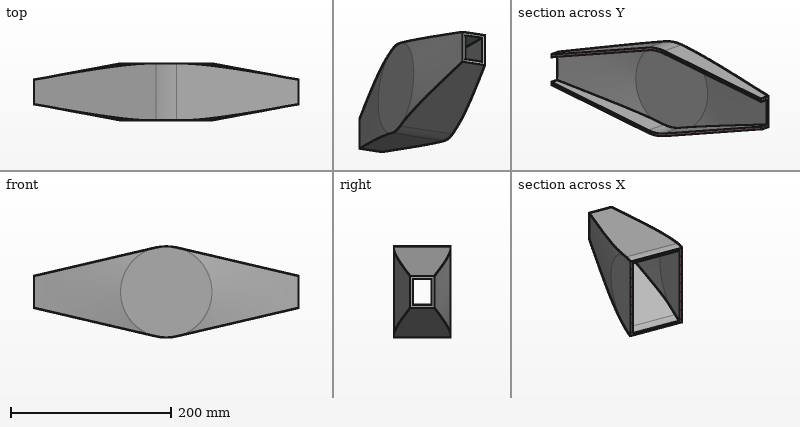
import cadquery as cq
import math

length = 330.0
hub_diameter = 114.0
hub_width = 71.0
end_width = 31.0
end_height = 40.0
wall = 4.0

half_length = length / 2
hub_radius = hub_diameter / 2
corner_radius = math.hypot(half_length, end_height / 2)

tangent_angle = math.atan2(end_height / 2, half_length) + math.acos(hub_radius / corner_radius)

cone_angle = math.atan2((hub_width - end_width) / 2, half_length - hub_radius)
rim_radius = corner_radius + wall


def tapered_slab(inset):
    """Slab along Y: a circle with straight tangent flanks and square-cut ends, inset from the outside."""
    radius = hub_radius - inset
    end_half_height = end_height / 2 - inset / math.sin(tangent_angle)
    tangent_x = radius * math.cos(tangent_angle)
    tangent_z = radius * math.sin(tangent_angle)
    return (
        cq.Workplane("XZ")
        .moveTo(-half_length, -end_half_height)
        .lineTo(-half_length, end_half_height)
        .lineTo(-tangent_x, tangent_z)
        .threePointArc((0, radius), (tangent_x, tangent_z))
        .lineTo(half_length, end_half_height)
        .lineTo(half_length, -end_half_height)
        .lineTo(tangent_x, -tangent_z)
        .threePointArc((0, -radius), (-tangent_x, -tangent_z))
        .close()
        .extrude(hub_width / 2, both=True)
    )


def conical_disc(inset):
    """Disc about Y with flat faces over the hub and conical faces beyond it, inset from the outside."""
    flat_radius = hub_radius - inset * math.tan(cone_angle / 2)
    half_width = hub_width / 2 - inset
    rim_half_width = half_width - (rim_radius - flat_radius) * math.tan(cone_angle)
    return (
        cq.Workplane("YZ")
        .moveTo(-half_width, 0)
        .lineTo(-half_width, flat_radius)
        .lineTo(-rim_half_width, rim_radius)
        .lineTo(rim_half_width, rim_radius)
        .lineTo(half_width, flat_radius)
        .lineTo(half_width, 0)
        .close()
        .revolve(360, (0, 0, 0), (1, 0, 0))
    )


def tapered_form(inset):
    """Outer form for zero inset, or the cavity for an inset of one wall thickness."""
    return tapered_slab(inset).intersect(conical_disc(inset))


result = tapered_form(0).cut(tapered_form(wall))